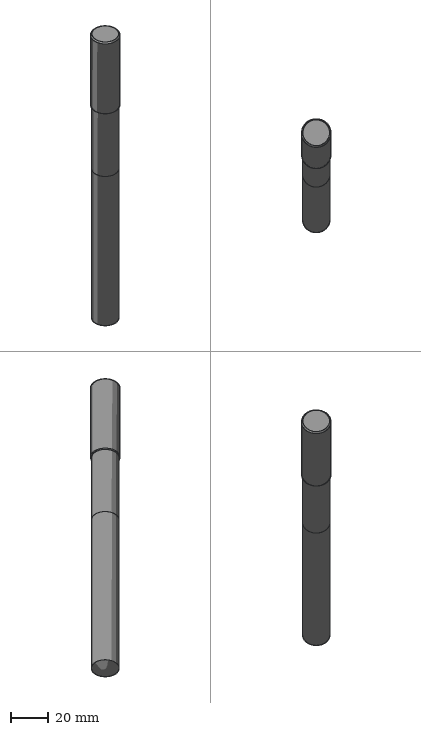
import cadquery as cq
import math

overall_length = 196.0
shank_diameter = 15.9
body_diameter = 14.9
shank_length = 48.6
shank_chamfer = 0.8
neck_length = 42.5
point_angle = 130.0

shank_radius = shank_diameter / 2
body_radius = body_diameter / 2
shoulder_height = shank_radius - body_radius
point_height = body_radius / math.tan(math.radians(point_angle / 2))

top_z = overall_length / 2
shank_bottom_z = top_z - shank_length
split_z = shank_bottom_z - neck_length
tip_z = -top_z
point_base_z = tip_z + point_height


def make_holder():
    """Chamfered shank with a slightly thinner neck below it."""
    return (
        cq.Workplane("XZ")
        .moveTo(0, split_z)
        .lineTo(body_radius, split_z)
        .lineTo(body_radius, shank_bottom_z)
        .lineTo(shank_radius, shank_bottom_z + shoulder_height)
        .lineTo(shank_radius, top_z - shank_chamfer)
        .lineTo(shank_radius - shank_chamfer, top_z)
        .lineTo(0, top_z)
        .close()
        .revolve(360, (0, 0, 0), (0, 1, 0))
    )


def make_cutter():
    """Cylindrical cutting length ending in a conical point."""
    return (
        cq.Workplane("XZ")
        .moveTo(0, tip_z)
        .lineTo(body_radius, point_base_z)
        .lineTo(body_radius, split_z)
        .lineTo(0, split_z)
        .close()
        .revolve(360, (0, 0, 0), (0, 1, 0))
    )


holder = make_holder()
cutter = make_cutter()

result = cq.Compound.makeCompound([holder.val(), cutter.val()])